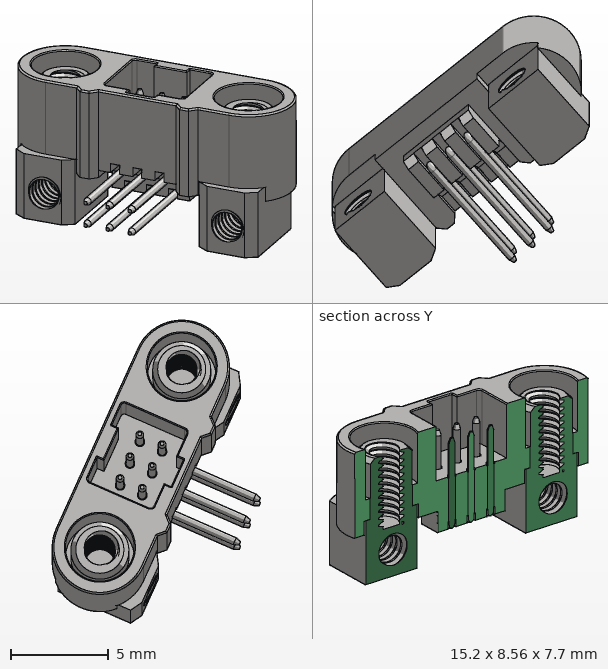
import cadquery as cq
import math


LENGTH = 15.2
TOP_Z = 7.7
BOTTOM_Z = 2.85
END_RADIUS = 2.45
JACK_X = LENGTH / 2 - END_RADIUS
EDGE_CHAMFER = 0.09

RIB_X = 2.8
RIB_BASE_WIDTH = 1.23
RIB_TOP_WIDTH = 0.5
RIB_HEIGHT = 0.38
FRONT_Y = -END_RADIUS - RIB_HEIGHT

NOTCH_WIDTH = 3.47
NOTCH_TOP_Z = 3.62

SOCKET_RADIUS = 1.76
SOCKET_CHAMFER = 0.06
SOCKET_FLOOR_Z = 4.83

CAVITY_FLOOR_Z = 4.68
CAVITY_WIDTH = 4.5
CAVITY_BACK_Y = 2.04
CAVITY_FRONT_Y = -1.65
CAVITY_CORNER_RADIUS = 0.2
CAVITY_CHAMFER = 0.06
KEY_WIDTH = 1.85
KEY_DEPTH = 0.38
KEYWAY_WIDTH = 1.55
KEYWAY_DEPTH = 0.4
PIN_RECESS_RADIUS = 0.25
PIN_RECESS_DEPTH = 0.15

CARRIER_WIDTH = 4.36
CARRIER_BOTTOM_Z = 1.64
CARRIER_BACK_Y = 1.65
CARRIER_FRONT_Y = -0.76
CARRIER_BACK_CHAMFER = 0.4
RELIEF_TOP_Z = 3.24
RELIEF_BOTTOM_Z = 2.58
RELIEF_BACK_Y = CARRIER_FRONT_Y - (RELIEF_TOP_Z - RELIEF_BOTTOM_Z)
PIN_SLOT_WIDTH = 0.5
UPPER_SLOT_TOP_Z = 3.74
LOWER_SLOT_TOP_Z = 2.15
LOWER_SLOT_CEILING_Z = 2.07
LOWER_SLOT_RAMP = 0.1

BLOCK_WIDTH = 3.31
BLOCK_BACK_Y = 1.61
BLOCK_CHAMFER_X = 0.61
BLOCK_CHAMFER_Y = 0.36
BARREL_RADIUS = 1.49
BARREL_TOP_Z = 7.02
BARREL_CHAMFER = 0.26

THREAD_MINOR_RADIUS = 0.79
THREAD_MAJOR_RADIUS = 1.0
THREAD_PITCH = 0.4
GROOVE_MOUTH_WIDTH = 0.75 * THREAD_PITCH
GROOVE_ROOT_WIDTH = THREAD_PITCH / 8
GROOVE_OVERLAP = 0.02
CROSS_HOLE_Z = 1.5
JACK_HOLE_BOTTOM_Z = 2.85
JACK_THREAD_START = 140
CROSS_THREAD_START = -25

PIN_RADIUS = 0.2
PIN_TIP_RADIUS = 0.099
PIN_TIP_LENGTH = 0.27
PIN_BEND_RADIUS = 0.23
PIN_PITCH = 1.25
PIN_TOP_Z = 6.75
PIN_FRONT_Y = -6.11
PIN_COLUMNS = [-PIN_PITCH, 0, PIN_PITCH]
FRONT_ROW_Y = -0.64
UPPER_LEG_Z = 3.01
PIN_ROWS = [(FRONT_ROW_Y, UPPER_LEG_Z), (FRONT_ROW_Y + PIN_PITCH, UPPER_LEG_Z - PIN_PITCH)]


def box_between(x_min, x_max, y_min, y_max, z_min, z_max):
    size = (x_max - x_min, y_max - y_min, z_max - z_min)
    return cq.Workplane("XY").box(*size, centered=False).translate((x_min, y_min, z_min))


def extrude_along_x(yz_points, width, x_center=0):
    """Extrude a YZ outline symmetrically about the plane X = x_center."""
    prism = cq.Workplane("YZ").polyline(yz_points).close().extrude(width / 2, both=True)
    return prism.translate((x_center, 0, 0))


def make_shell():
    """Stadium-shaped body with two guide ribs on its front wall and a chamfered top edge."""
    wall_y = -END_RADIUS
    outline = cq.Workplane("XY", origin=(0, 0, BOTTOM_Z)).moveTo(-JACK_X, wall_y)
    for rib_x in (-RIB_X, RIB_X):
        outline = (
            outline.lineTo(rib_x - RIB_BASE_WIDTH / 2, wall_y)
            .lineTo(rib_x - RIB_TOP_WIDTH / 2, FRONT_Y)
            .lineTo(rib_x + RIB_TOP_WIDTH / 2, FRONT_Y)
            .lineTo(rib_x + RIB_BASE_WIDTH / 2, wall_y)
        )
    outline = (
        outline.lineTo(JACK_X, wall_y)
        .threePointArc((LENGTH / 2, 0), (JACK_X, END_RADIUS))
        .lineTo(-JACK_X, END_RADIUS)
        .threePointArc((-LENGTH / 2, 0), (-JACK_X, wall_y))
        .close()
    )
    return outline.extrude(TOP_Z - BOTTOM_Z).faces(">Z").edges().chamfer(EDGE_CHAMFER)


def make_jack_socket(x):
    """Tool for one socket: chamfered counterbore, barrel bore and the notch for the block."""
    counterbore = (
        cq.Workplane("XY", origin=(x, 0, SOCKET_FLOOR_Z))
        .circle(SOCKET_RADIUS)
        .extrude(TOP_Z - SOCKET_FLOOR_Z)
    )
    mouth = (
        cq.Workplane("XY", origin=(x, 0, TOP_Z))
        .circle(SOCKET_RADIUS + SOCKET_CHAMFER)
        .workplane(offset=-SOCKET_CHAMFER)
        .circle(SOCKET_RADIUS)
        .loft()
    )
    bore = (
        cq.Workplane("XY", origin=(x, 0, BOTTOM_Z))
        .circle(BARREL_RADIUS)
        .extrude(SOCKET_FLOOR_Z - BOTTOM_Z)
    )
    notch = box_between(
        x - NOTCH_WIDTH / 2, x + NOTCH_WIDTH / 2, FRONT_Y, END_RADIUS, BOTTOM_Z, NOTCH_TOP_Z
    )
    return counterbore.union(mouth).union(bore).union(notch)


def make_cavity():
    """Tool for the keyed contact cavity with a chamfered mouth."""
    cavity = box_between(
        -CAVITY_WIDTH / 2, CAVITY_WIDTH / 2, CAVITY_FRONT_Y, CAVITY_BACK_Y, CAVITY_FLOOR_Z, TOP_Z
    )
    cavity = cavity.edges("|Z").fillet(CAVITY_CORNER_RADIUS)
    key = box_between(
        -KEY_WIDTH / 2, KEY_WIDTH / 2, CAVITY_BACK_Y - KEY_DEPTH, CAVITY_BACK_Y, CAVITY_FLOOR_Z, TOP_Z
    )
    keyway = box_between(
        -KEYWAY_WIDTH / 2, KEYWAY_WIDTH / 2, CAVITY_FRONT_Y - KEYWAY_DEPTH, CAVITY_FRONT_Y,
        CAVITY_FLOOR_Z, TOP_Z,
    )
    cavity = cavity.cut(key).union(keyway)
    mouth = (
        cavity.faces(">Z").wires().toPending().workplane()
        .extrude(CAVITY_CHAMFER, taper=-45)
        .translate((0, 0, -CAVITY_CHAMFER))
    )
    return cavity.union(mouth)


def make_carrier():
    """Block under the cavity that the horizontal pin legs leave through."""
    carrier = box_between(
        -CARRIER_WIDTH / 2, CARRIER_WIDTH / 2, -END_RADIUS, CARRIER_BACK_Y, CARRIER_BOTTOM_Z, BOTTOM_Z
    )
    return carrier.faces(">Y").edges("<Z").chamfer(CARRIER_BACK_CHAMFER)


def make_front_relief():
    """Tool that undercuts the front wall, with a 45 degree face leading down to the carrier front."""
    profile = [
        (-END_RADIUS, RELIEF_TOP_Z),
        (RELIEF_BACK_Y, RELIEF_TOP_Z),
        (CARRIER_FRONT_Y, RELIEF_BOTTOM_Z),
        (CARRIER_FRONT_Y, CARRIER_BOTTOM_Z),
        (-END_RADIUS, CARRIER_BOTTOM_Z),
    ]
    return extrude_along_x(profile, CARRIER_WIDTH)


def make_upper_slot(x):
    """Tool for a slot around an upper pin leg, with a ramp rising to the front wall."""
    profile = [
        (-END_RADIUS, UPPER_SLOT_TOP_Z),
        (RELIEF_BACK_Y, RELIEF_TOP_Z),
        (CARRIER_FRONT_Y, RELIEF_TOP_Z),
        (CARRIER_FRONT_Y, RELIEF_BOTTOM_Z),
        (-END_RADIUS, RELIEF_BOTTOM_Z),
    ]
    return extrude_along_x(profile, PIN_SLOT_WIDTH, x)


def make_lower_slot(x):
    """Tool for a slot along the carrier underside around a lower pin leg."""
    profile = [
        (CARRIER_FRONT_Y, LOWER_SLOT_TOP_Z),
        (CARRIER_FRONT_Y + LOWER_SLOT_RAMP, LOWER_SLOT_CEILING_Z),
        (CARRIER_BACK_Y, LOWER_SLOT_CEILING_Z),
        (CARRIER_BACK_Y, CARRIER_BOTTOM_Z),
        (CARRIER_FRONT_Y, CARRIER_BOTTOM_Z),
    ]
    return extrude_along_x(profile, PIN_SLOT_WIDTH, x)


def make_pin_recesses():
    """Tool for the shallow round recess around each pin in the cavity floor."""
    centers = [(x, upright_y) for x in PIN_COLUMNS for upright_y, _ in PIN_ROWS]
    return (
        cq.Workplane("XY", origin=(0, 0, CAVITY_FLOOR_Z))
        .pushPoints(centers)
        .circle(PIN_RECESS_RADIUS)
        .extrude(-PIN_RECESS_DEPTH)
    )


def make_housing(pins):
    housing = make_shell().union(make_carrier())
    housing = housing.cut(make_front_relief())
    for x in PIN_COLUMNS:
        housing = housing.cut(make_upper_slot(x))
        housing = housing.cut(make_lower_slot(x))
    housing = housing.cut(make_cavity())
    housing = housing.cut(make_pin_recesses())
    for x in (-JACK_X, JACK_X):
        housing = housing.cut(make_jack_socket(x))
    for pin in pins:
        housing = housing.cut(pin)
    return housing


def make_hole_tools(length, overrun, start_angle):
    """Tools for a threaded hole along +Z from the origin: helical groove, then minor bore.

    The groove runs past the far end by overrun. Cutting it before the bore keeps the thread crests clean.
    """
    inner_radius = THREAD_MINOR_RADIUS - GROOVE_OVERLAP
    helix = cq.Wire.makeHelix(THREAD_PITCH, length + overrun, inner_radius)
    groove = (
        cq.Workplane("XZ")
        .polyline([
            (inner_radius, -GROOVE_MOUTH_WIDTH / 2),
            (THREAD_MAJOR_RADIUS, -GROOVE_ROOT_WIDTH / 2),
            (THREAD_MAJOR_RADIUS, GROOVE_ROOT_WIDTH / 2),
            (inner_radius, GROOVE_MOUTH_WIDTH / 2),
        ])
        .close()
        .sweep(cq.Workplane(obj=helix), isFrenet=True)
        .rotate((0, 0, 0), (0, 0, 1), start_angle)
    )
    bore = cq.Workplane("XY").circle(THREAD_MINOR_RADIUS).extrude(length)
    return [groove, bore]


def make_jack_block():
    half_width = BLOCK_WIDTH / 2
    front_half_width = half_width - BLOCK_CHAMFER_X
    block = (
        cq.Workplane("XY")
        .polyline([
            (-half_width, BLOCK_BACK_Y),
            (-half_width, FRONT_Y + BLOCK_CHAMFER_Y),
            (-front_half_width, FRONT_Y),
            (front_half_width, FRONT_Y),
            (half_width, FRONT_Y + BLOCK_CHAMFER_Y),
            (half_width, BLOCK_BACK_Y),
        ])
        .close()
        .extrude(NOTCH_TOP_Z)
    )
    barrel = (
        cq.Workplane("XY")
        .circle(BARREL_RADIUS)
        .extrude(BARREL_TOP_Z)
        .faces(">Z").edges().chamfer(BARREL_CHAMFER)
    )
    block = block.union(barrel)
    jack_tools = [
        tool.translate((0, 0, JACK_HOLE_BOTTOM_Z))
        for tool in make_hole_tools(BARREL_TOP_Z - JACK_HOLE_BOTTOM_Z, THREAD_PITCH, JACK_THREAD_START)
    ]
    cross_tools = [
        tool.rotate((0, 0, 0), (1, 0, 0), 90).translate((0, BLOCK_BACK_Y, CROSS_HOLE_Z))
        for tool in make_hole_tools(BLOCK_BACK_Y - FRONT_Y, 2 * THREAD_PITCH, CROSS_THREAD_START)
    ]
    for tool in jack_tools + cross_tools:
        block = block.cut(tool)
    return block


def make_pin(x, upright_y, leg_z):
    """Bent round pin with a conical tip at each end."""
    bend_y = upright_y - PIN_BEND_RADIUS
    bend_z = leg_z + PIN_BEND_RADIUS
    arc_offset = PIN_BEND_RADIUS * math.sqrt(0.5)
    path = (
        cq.Workplane("YZ", origin=(x, 0, 0))
        .moveTo(upright_y, PIN_TOP_Z)
        .lineTo(upright_y, bend_z)
        .threePointArc((bend_y + arc_offset, bend_z - arc_offset), (bend_y, leg_z))
        .lineTo(PIN_FRONT_Y, leg_z)
    )
    pin = cq.Workplane("XY", origin=(x, upright_y, PIN_TOP_Z)).circle(PIN_RADIUS).sweep(path)
    tip_inset = PIN_RADIUS - PIN_TIP_RADIUS
    pin = pin.faces(">Z").edges().chamfer(PIN_TIP_LENGTH, tip_inset)
    return pin.faces("<Y").edges().chamfer(PIN_TIP_LENGTH, tip_inset)


pins = [make_pin(x, upright_y, leg_z) for x in PIN_COLUMNS for upright_y, leg_z in PIN_ROWS]
housing = make_housing(pins)
jack_block = make_jack_block()
jack_blocks = [jack_block.translate((x, 0, 0)) for x in (-JACK_X, JACK_X)]

result = cq.Compound.makeCompound([
    housing.val(),
    *[block.val() for block in jack_blocks],
    *[pin.val() for pin in pins],
])